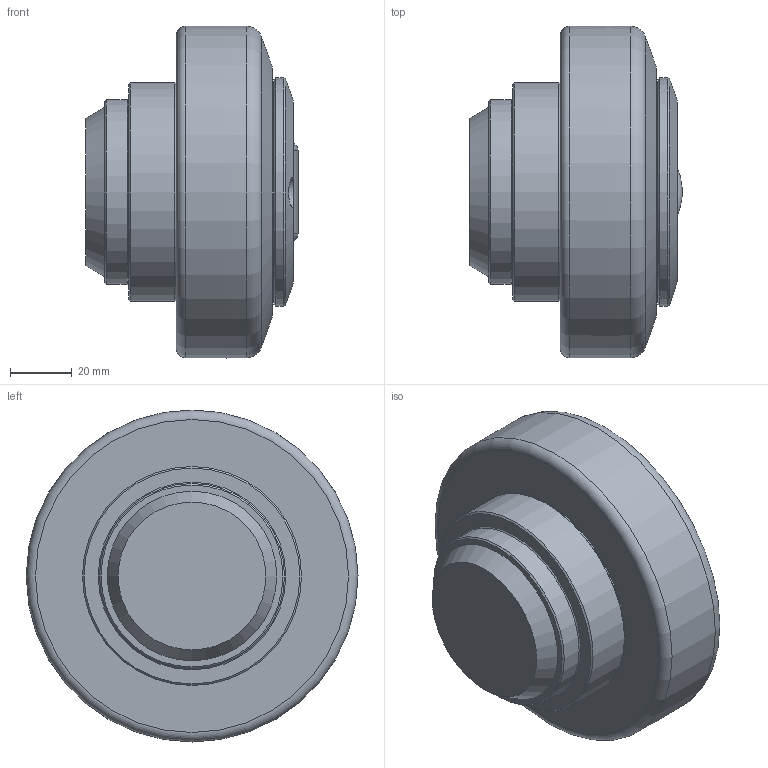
import cadquery as cq
import math


stud_radius = 60 / 2
nose_root_radius = 27.5
nose_taper_angle = 30
nose_length = 6.1
stud_end = 13.8
stud_chamfer = 0.5
nose_tip_radius = nose_root_radius - nose_length * math.tan(math.radians(nose_taper_angle))

shoulder_radius = 71 / 2
shoulder_chamfer = 0.5
shoulder_root_chamfer = 0.4
shoulder_end = 28.7
spacer_radius = 70.5 / 2

ring_radius = 107.7 / 2
ring_start = 29.3
ring_width = 31.05
ring_end = ring_start + ring_width
ring_back_fillet = 3
ring_front_fillet = 5
ring_front_radius = 40.8
crown_sag = 0.1

neck_radius = 71.6 / 2
cap_radius = 74 / 2
neck_length = 0.6
cap_start = ring_end + neck_length
cap_chamfer = 0.6
cap_front_fillet = 0.8
cap_end = 67.25
cap_face_radius = 29.6

relief_angle = 20

roller_tip = 68.95
roller_radius = 20
roller_length = 32
roller_corner = 2.5
roller_crown_sag = 0.12

hole_diameter = 10
hole_offset = 28.8
hole_depth = 10


def relief_fillet_span(fillet):
    """Axial length and radial drop of a fillet from a cylinder onto a relief cone."""
    turn = math.radians(90 - relief_angle)
    return fillet * math.sin(turn), fillet * (1 - math.cos(turn))


def relief_fillet_middle(fillet):
    """Axial length and radial drop to the midpoint of that fillet."""
    half_turn = math.radians(90 - relief_angle) / 2
    return fillet * math.sin(half_turn), fillet * (1 - math.cos(half_turn))


def cone_rise(from_radius, to_radius):
    """Axial length of a relief cone between two radii."""
    return (from_radius - to_radius) * math.tan(math.radians(relief_angle))


def turned_section(profile):
    """Close a half profile lying above the X axis and revolve it about that axis."""
    return profile.close().revolve(360, (0, 0, 0), (1, 0, 0))


def make_stud():
    return turned_section(
        cq.Workplane("XY")
        .moveTo(0, 0)
        .lineTo(0, nose_tip_radius)
        .lineTo(nose_length, nose_root_radius)
        .lineTo(nose_length, stud_radius - stud_chamfer)
        .lineTo(nose_length + stud_chamfer, stud_radius)
        .lineTo(stud_end - shoulder_root_chamfer, stud_radius)
        .lineTo(stud_end, stud_radius + shoulder_root_chamfer)
        .lineTo(stud_end, shoulder_radius - shoulder_chamfer)
        .lineTo(stud_end + shoulder_chamfer, shoulder_radius)
        .lineTo(shoulder_end, shoulder_radius)
        .lineTo(shoulder_end, spacer_radius)
        .lineTo(ring_start, spacer_radius)
        .lineTo(ring_start, 0)
    )


def make_outer_ring():
    crown_edge_radius = ring_radius - crown_sag
    fillet_length, fillet_drop = relief_fillet_span(ring_front_fillet)
    middle_length, middle_drop = relief_fillet_middle(ring_front_fillet)
    cone_start_radius = crown_edge_radius - fillet_drop
    cone_start = ring_end - cone_rise(cone_start_radius, ring_front_radius)
    crown_start = ring_start + ring_back_fillet
    crown_end = cone_start - fillet_length
    return turned_section(
        cq.Workplane("XY")
        .moveTo(ring_start, 0)
        .lineTo(ring_start, crown_edge_radius - ring_back_fillet)
        .radiusArc((crown_start, crown_edge_radius), ring_back_fillet)
        .threePointArc(
            ((crown_start + crown_end) / 2, ring_radius),
            (crown_end, crown_edge_radius),
        )
        .threePointArc(
            (crown_end + middle_length, crown_edge_radius - middle_drop),
            (cone_start, cone_start_radius),
        )
        .lineTo(ring_end, ring_front_radius)
        .lineTo(ring_end, 0)
    )


def make_cap():
    fillet_length, fillet_drop = relief_fillet_span(cap_front_fillet)
    middle_length, middle_drop = relief_fillet_middle(cap_front_fillet)
    cone_start_radius = cap_radius - fillet_drop
    cone_start = cap_end - cone_rise(cone_start_radius, cap_face_radius)
    fillet_start = cone_start - fillet_length
    return turned_section(
        cq.Workplane("XY")
        .moveTo(ring_end, 0)
        .lineTo(ring_end, neck_radius)
        .lineTo(cap_start, neck_radius)
        .lineTo(cap_start, cap_radius - cap_chamfer)
        .lineTo(cap_start + cap_chamfer, cap_radius)
        .lineTo(fillet_start, cap_radius)
        .threePointArc(
            (fillet_start + middle_length, cap_radius - middle_drop),
            (cone_start, cone_start_radius),
        )
        .lineTo(cap_end, cap_face_radius)
        .lineTo(cap_end, 0)
    )


def make_axial_roller():
    axis_x = roller_tip - roller_radius
    half_length = roller_length / 2
    flat_half = half_length - roller_corner
    crown_edge = roller_tip - roller_crown_sag
    return (
        cq.Workplane("XZ")
        .moveTo(axis_x, -half_length)
        .lineTo(crown_edge - roller_corner, -half_length)
        .radiusArc((crown_edge, -flat_half), -roller_corner)
        .threePointArc((roller_tip, 0), (crown_edge, flat_half))
        .radiusArc((crown_edge - roller_corner, half_length), -roller_corner)
        .lineTo(axis_x, half_length)
        .close()
        .revolve(360, (axis_x, 0, 0), (axis_x, 1, 0))
    )


def make_grease_hole():
    return (
        cq.Workplane("YZ", origin=(cap_end - hole_depth, 0, 0))
        .center(-hole_offset, 0)
        .circle(hole_diameter / 2)
        .extrude(hole_depth)
    )


body = make_stud().union(make_outer_ring()).union(make_cap())
result = body.cut(make_grease_hole()).union(make_axial_roller())